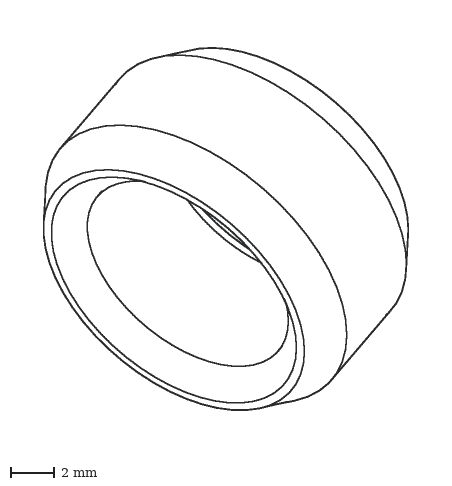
import cadquery as cq
import math

outer_diameter = 16.5
bore_diameter = 11.0
length = 9.0

bevel_length = 1.91
bevel_angle = 30.0

countersink_depth = 1.2

outer_radius = outer_diameter / 2
bore_radius = bore_diameter / 2
half_length = length / 2
end_face_outer_radius = outer_radius - bevel_length * math.tan(math.radians(bevel_angle))
end_face_inner_radius = bore_radius + countersink_depth
rim_y = half_length - bevel_length
bore_y = half_length - countersink_depth

section = (
    cq.Workplane("XY")
    .moveTo(bore_radius, -bore_y)
    .lineTo(end_face_inner_radius, -half_length)
    .lineTo(end_face_outer_radius, -half_length)
    .lineTo(outer_radius, -rim_y)
    .lineTo(outer_radius, rim_y)
    .lineTo(end_face_outer_radius, half_length)
    .lineTo(end_face_inner_radius, half_length)
    .lineTo(bore_radius, bore_y)
    .close()
)

result = section.revolve(360, (0, 0, 0), (0, 1, 0))